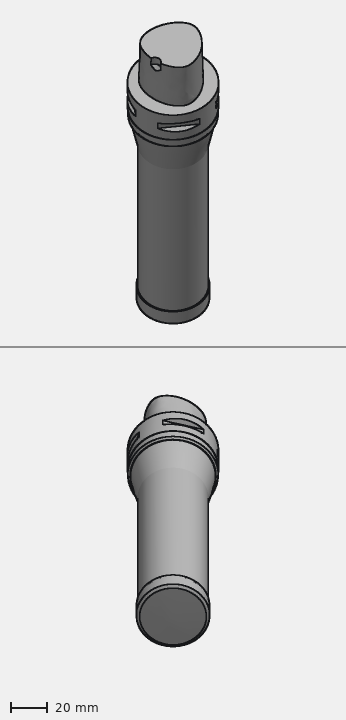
import cadquery as cq
import math

total_height = 203.0
cap_height = 11.4
cap_edge_height = 1.8
cap_face_height = 0.6
neck_bottom = 124.0
neck_taper_bottom = 130.0
neck_taper_top = 143.0
collar_bottom = 146.5
flange_bottom = 153.3
flange_top = 173.0
polygon_taper_bottom = 176.0

bar_radius = 38.8 / 2
neck_taper_bottom_radius = 20.3
neck_taper_top_radius = 23.0
neck_radius = 46.5 / 2
collar_radius = 49.5 / 2
flange_radius = 50.0 / 2
cap_radius = 20.0
cap_face_radius = 18.3
collar_chamfer = 1.2

shank_top_width = 34.0
shank_taper = 1 / 20
lobe_height = 1.15
shank_points = 60

notch_radius = 3.5
notch_offset = 16.6
notch_straight_depth = 5.3
notch_tip_depth = 2.5

slot_count = 4
slot_first_angle = 45
slot_height = 163.0
slot_floor_radius = 22.1
slot_floor_width = 4.0
slot_mouth_width = 6.7
slot_length = 2 * flange_radius


def shank_section(width, height):
    """Constant-width three-lobed outline with one lobe toward +Y."""
    points = []
    for index in range(shank_points):
        angle = 2 * math.pi * index / shank_points
        support = width / 2 - lobe_height * math.sin(3 * angle)
        slope = -3 * lobe_height * math.cos(3 * angle)
        x = support * math.cos(angle) - slope * math.sin(angle)
        y = support * math.sin(angle) + slope * math.cos(angle)
        points.append((x, y))
    return cq.Workplane("XY", origin=(0, 0, height)).spline(points, periodic=True).wire()


def make_shank():
    taper_height = total_height - polygon_taper_bottom
    base_width = shank_top_width + shank_taper * taper_height
    base = shank_section(base_width, flange_top).extrude(polygon_taper_bottom - flange_top)
    lower_wire = shank_section(base_width, polygon_taper_bottom).val()
    upper_wire = shank_section(shank_top_width, total_height).val()
    taper = cq.Solid.makeLoft([lower_wire, upper_wire], True)
    return base.union(cq.Workplane(taper))


def make_notch_cutter():
    """Vertical round cutter with a conical tip."""
    shoulder = total_height - notch_straight_depth
    profile = [
        (0, total_height),
        (notch_radius, total_height),
        (notch_radius, shoulder),
        (0, shoulder - notch_tip_depth),
    ]
    cutter = cq.Workplane("XZ").polyline(profile).close().revolve(360, (0, 0), (0, 1))
    return cutter.translate((0, -notch_offset, 0))


def make_slot_cutter(angle):
    """Straight slot with a flat floor and flared walls."""
    half_floor = slot_floor_width / 2
    half_mouth = slot_mouth_width / 2
    flare = (half_mouth - half_floor) / (flange_radius - slot_floor_radius)
    outer_radius = flange_radius + 2
    half_outer = half_floor + flare * (outer_radius - slot_floor_radius)
    profile = [
        (slot_floor_radius, slot_height - half_floor),
        (outer_radius, slot_height - half_outer),
        (outer_radius, slot_height + half_outer),
        (slot_floor_radius, slot_height + half_floor),
    ]
    cutter = cq.Workplane("XZ").polyline(profile).close().extrude(slot_length / 2, both=True)
    return cutter.rotate((0, 0, 0), (0, 0, 1), angle)


def make_neck_and_bar():
    """Straight bar that widens through a smooth S-shaped neck."""
    neck_curve = [
        (neck_taper_bottom_radius, neck_taper_bottom),
        (neck_taper_top_radius, neck_taper_top),
        (neck_radius, collar_bottom),
    ]
    profile = (
        cq.Workplane("XZ")
        .moveTo(0, cap_height)
        .lineTo(bar_radius, cap_height)
        .lineTo(bar_radius, neck_bottom)
        .spline(neck_curve, includeCurrent=True)
        .lineTo(0, collar_bottom)
        .close()
    )
    return profile.revolve(360, (0, 0), (0, 1))


def make_flange():
    profile = [
        (0, collar_bottom),
        (collar_radius - collar_chamfer, collar_bottom),
        (collar_radius, collar_bottom + collar_chamfer),
        (collar_radius, flange_bottom),
        (flange_radius, flange_bottom),
        (flange_radius, flange_top),
        (0, flange_top),
    ]
    flange = cq.Workplane("XZ").polyline(profile).close().revolve(360, (0, 0), (0, 1))
    for index in range(slot_count):
        flange = flange.cut(make_slot_cutter(slot_first_angle + index * 360 / slot_count))
    return flange


def make_holder():
    shank = make_shank().cut(make_notch_cutter())
    return make_neck_and_bar().union(make_flange()).union(shank)


def make_nose_cap():
    """Round cap with a chamfered edge and a shallow domed end."""
    dome_radius = (cap_face_radius**2 + cap_face_height**2) / (2 * cap_face_height)
    dome_mid_radius = cap_face_radius / 2
    dome_mid_height = dome_radius - math.sqrt(dome_radius**2 - dome_mid_radius**2)
    profile = (
        cq.Workplane("XZ")
        .moveTo(0, 0)
        .threePointArc((dome_mid_radius, dome_mid_height), (cap_face_radius, cap_face_height))
        .lineTo(cap_radius, cap_edge_height)
        .lineTo(cap_radius, cap_height)
        .lineTo(0, cap_height)
        .close()
    )
    return profile.revolve(360, (0, 0), (0, 1))


holder = make_holder()
nose_cap = make_nose_cap()
result = cq.Compound.makeCompound([holder.val(), nose_cap.val()])